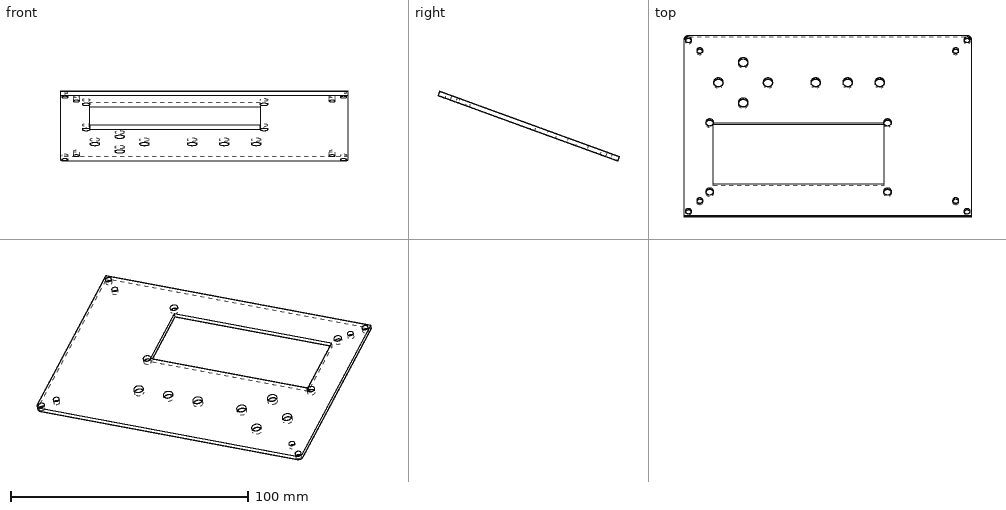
import cadquery as cq
import math


tilt = 20.0
panel_width = 121.29
thickness = 2.0
overall_depth = 76.5
panel_length = (overall_depth - thickness * math.sin(math.radians(tilt))) / math.cos(math.radians(tilt))
rear_corner_radius = 2.0

corner_hole_diameter = 2.5
corner_hole_inset = 1.9
mount_hole_diameter = 2.5
mount_hole_inset = 6.7

display_x = -12.3
display_y = -14.1
window_width = 72.0
window_height = 27.4
window_offset_y = 1.5
display_hole_diameter = 3.2
display_hole_spacing_x = 75.0
display_hole_spacing_y = 31.0

button_diameter = 4.0
button_line_y = 19.4
cross_x = -35.65
cross_reach_x = 10.45
cross_reach_y = 9.05
row_start_x = -5.1
row_pitch = 13.5
row_count = 3


def panel_blank():
    blank = cq.Workplane("XY").box(panel_width, panel_length, thickness)
    return blank.edges("|Z and >Y").fillet(rear_corner_radius)


def rectangle_points(center_x, center_y, spacing_x, spacing_y):
    return [
        (center_x + side * spacing_x / 2, center_y + end * spacing_y / 2)
        for side in (-1, 1)
        for end in (-1, 1)
    ]


def inset_points(inset):
    return rectangle_points(0, 0, panel_width - 2 * inset, panel_length - 2 * inset)


def button_points():
    cross = [
        (cross_x - cross_reach_x, button_line_y),
        (cross_x + cross_reach_x, button_line_y),
        (cross_x, button_line_y - cross_reach_y),
        (cross_x, button_line_y + cross_reach_y),
    ]
    row = [(row_start_x + i * row_pitch, button_line_y) for i in range(row_count)]
    return cross + row


def drill(panel, points, diameter):
    return panel.faces(">Z").workplane(origin=(0, 0, 0)).pushPoints(points).hole(diameter)


def cut_window(panel):
    cutter = cq.Workplane("XY").box(window_width, window_height, 2 * thickness)
    return panel.cut(cutter.translate((display_x, display_y + window_offset_y, 0)))


panel = panel_blank()
panel = cut_window(panel)
panel = drill(panel, inset_points(corner_hole_inset), corner_hole_diameter)
panel = drill(panel, inset_points(mount_hole_inset), mount_hole_diameter)
display_holes = rectangle_points(display_x, display_y, display_hole_spacing_x, display_hole_spacing_y)
panel = drill(panel, display_holes, display_hole_diameter)
panel = drill(panel, button_points(), button_diameter)

result = panel.rotate((0, 0, 0), (1, 0, 0), -tilt)